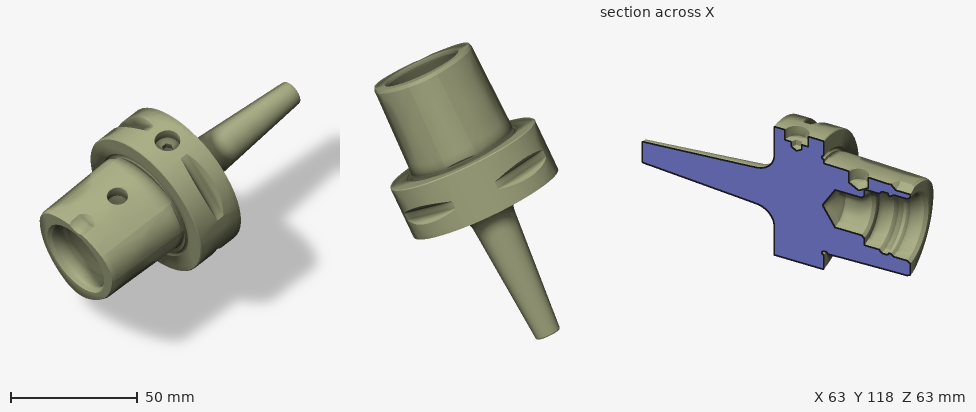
import cadquery as cq
import math


TOTAL_LENGTH = 118.0
SHANK_LENGTH = 38.0

FLANGE_RADIUS = 31.5
FLANGE_LENGTH = 22.0
FLANGE_CHAMFER = 0.4

NOSE_LENGTH = TOTAL_LENGTH - FLANGE_LENGTH - SHANK_LENGTH
TIP_RADIUS = 5.2
TIP_FILLET = 0.7
NOSE_HALF_ANGLE = 4.3
ROOT_FILLET = 8.3

LOBE_OFFSET = 10.1
LOBE_RADIUS = 13.2
LOBE_ANGLES = (30.0, 150.0, 270.0)
LOBE_HALF_SPAN = 30.0
SHANK_TAPER = 1 / 40
ROOT_OVERLAP = 1.2
ROOT_FLARE_HEIGHT = 0.5
ROOT_FLARE_DEPTH = 0.2
STRAIGHT_LENGTH = 1.9
END_CHAMFER_LENGTH = 1.4
END_CHAMFER_DEPTH = 0.6

RELIEF_INNER_RADIUS = 22.5
RELIEF_WIDTH = 1.7
RELIEF_LENGTH = 1.1

BORE_MOUTH_RADIUS = 16.2
BORE_ENTRY_RADIUS = 15.0
BORE_MOUTH_DEPTH = 1.4
BORE_ENTRY_DEPTH = 7.4
LIP_RADIUS = 13.9
BORE_RADIUS = 13.6
BORE_DEPTH = 20.2
SEGMENT_GROOVE_RADIUS = 15.0
SEGMENT_GROOVE_START = 9.8
SEGMENT_GROOVE_END = 12.4
PILOT_RADIUS = 10.3
PILOT_CHAMFER = 1.2
PILOT_DEPTH = 33.0
DRILL_HALF_ANGLE = 59.0

SLOT_PLACE = 12.0
SLOT_FLOOR_RADIUS = 27.8
SLOT_FLOOR_WIDTH = 3.3
SLOT_FLANK_ANGLE = 30.0
SLOT_CORNER_FILLET = 0.6
SLOT_ANGLES = (45.0, 135.0, 225.0, 315.0)

CHIP_HOLE_RADIUS = 5.1
CHIP_HOLE_DEPTH = 5.0
CHIP_HOLE_CHAMFER = 0.2
SOCKET_WIDTH = 3.9
SOCKET_DEPTH = 2.4

SIDE_HOLE_RADIUS = 4.1
SIDE_HOLE_PLACE = -15.2
SIDE_HOLE_FLOOR = 14.9
SIDE_HOLE_CHAMFER = 0.4

NOTCH_RADIUS = 5.9
NOTCH_FLOOR = 17.8
NOTCH_LENGTH = 6.4


def turned(profile):
    """Revolve a closed (radius, Y) outline about the Y axis."""
    return profile.close().revolve(360, (0, 0, 0), (0, 1, 0))


def polar(radius, angle, center=(0.0, 0.0)):
    """Point at a radius and an angle in degrees around a center."""
    a = math.radians(angle)
    return (center[0] + radius * math.cos(a), center[1] + radius * math.sin(a))


def body():
    """Flange and nose, turned in one piece."""
    slope = math.radians(NOSE_HALF_ANGLE)
    root_y = FLANGE_LENGTH + ROOT_FILLET * (1 - math.sin(slope))
    tip_y = FLANGE_LENGTH + NOSE_LENGTH
    root_radius = TIP_RADIUS + (tip_y - root_y) * math.tan(slope)
    center = (root_radius + ROOT_FILLET * math.cos(slope), FLANGE_LENGTH + ROOT_FILLET)
    middle = polar(ROOT_FILLET, (180 + NOSE_HALF_ANGLE + 270) / 2, center)
    profile = (
        cq.Workplane("XY")
        .lineTo(FLANGE_RADIUS - FLANGE_CHAMFER, 0)
        .lineTo(FLANGE_RADIUS, FLANGE_CHAMFER)
        .lineTo(FLANGE_RADIUS, FLANGE_LENGTH)
        .lineTo(center[0], FLANGE_LENGTH)
        .threePointArc(middle, (root_radius, root_y))
        .lineTo(TIP_RADIUS, tip_y)
        .lineTo(0, tip_y)
    )
    return turned(profile).faces(">Y").edges().fillet(TIP_FILLET)


def lobed_outline(y, inset):
    """Closed six-arc outline at the given Y, shrunk by an inset.

    Each flat side arc is centred on the lobe opposite to it, so the arcs meet tangentially.
    """
    lobe = LOBE_RADIUS - inset
    side = lobe + LOBE_OFFSET * math.sqrt(3)
    first = LOBE_ANGLES[0]
    outline = cq.Workplane("XZ", origin=(0, y, 0))
    outline = outline.moveTo(*polar(lobe, first - LOBE_HALF_SPAN, polar(LOBE_OFFSET, first)))
    for angle in LOBE_ANGLES:
        center = polar(LOBE_OFFSET, angle)
        lobe_end = angle + LOBE_HALF_SPAN
        side_middle = lobe_end + LOBE_HALF_SPAN
        side_end = side_middle + LOBE_HALF_SPAN
        opposite = polar(LOBE_OFFSET, side_middle + 180)
        outline = outline.threePointArc(polar(lobe, angle, center), polar(lobe, lobe_end, center))
        outline = outline.threePointArc(
            polar(side, side_middle, opposite), polar(side, side_end, opposite)
        )
    return outline.close().wire().val()


def shank():
    """Flared root sunk into the flange, straight neck, tapered length and end chamfer."""
    chamfer_y = END_CHAMFER_LENGTH - SHANK_LENGTH
    taper_inset = (-STRAIGHT_LENGTH - chamfer_y) * SHANK_TAPER
    stations = (
        (ROOT_OVERLAP, -ROOT_FLARE_DEPTH),
        (0, -ROOT_FLARE_DEPTH),
        (-ROOT_FLARE_HEIGHT, 0),
        (-STRAIGHT_LENGTH, 0),
        (chamfer_y, taper_inset),
        (-SHANK_LENGTH, taper_inset + END_CHAMFER_DEPTH),
    )
    outlines = [lobed_outline(y, inset) for y, inset in stations]
    solid = cq.Workplane("XY")
    for start, end in zip(outlines, outlines[1:]):
        solid = solid.union(cq.Workplane(cq.Solid.makeLoft([start, end], True)))
    return solid


def relief_groove():
    """Groove with a round bottom in the flange and a 45 degree outer run that trims the lobes."""
    outer = RELIEF_INNER_RADIUS + RELIEF_WIDTH
    radius = RELIEF_WIDTH / 2
    profile = (
        cq.Workplane("XY")
        .moveTo(RELIEF_INNER_RADIUS, -RELIEF_LENGTH)
        .lineTo(RELIEF_INNER_RADIUS, 0)
        .threePointArc((RELIEF_INNER_RADIUS + radius, radius), (outer, 0))
        .lineTo(outer, -RELIEF_LENGTH - RELIEF_WIDTH)
    )
    return turned(profile)


def bore():
    """Entry, 45 degree lip, groove for the clamping segments, bore and drilled pilot."""
    end = -SHANK_LENGTH
    floor = end + BORE_DEPTH
    lip_step = BORE_ENTRY_RADIUS - LIP_RADIUS
    groove_step = SEGMENT_GROOVE_RADIUS - BORE_RADIUS
    pilot_tip_radius = PILOT_RADIUS - PILOT_CHAMFER
    profile = (
        cq.Workplane("XY")
        .moveTo(0, end)
        .lineTo(BORE_MOUTH_RADIUS, end)
        .lineTo(BORE_ENTRY_RADIUS, end + BORE_MOUTH_DEPTH)
        .lineTo(BORE_ENTRY_RADIUS, end + BORE_ENTRY_DEPTH)
        .lineTo(LIP_RADIUS, end + BORE_ENTRY_DEPTH + lip_step)
        .lineTo(LIP_RADIUS, end + SEGMENT_GROOVE_START)
        .lineTo(SEGMENT_GROOVE_RADIUS, end + SEGMENT_GROOVE_START)
        .lineTo(SEGMENT_GROOVE_RADIUS, end + SEGMENT_GROOVE_END)
        .lineTo(BORE_RADIUS, end + SEGMENT_GROOVE_END + groove_step)
        .lineTo(BORE_RADIUS, floor)
        .lineTo(PILOT_RADIUS, floor)
        .lineTo(pilot_tip_radius, floor + PILOT_CHAMFER)
        .lineTo(pilot_tip_radius, end + PILOT_DEPTH)
        .lineTo(0, end + PILOT_DEPTH + pilot_tip_radius / math.tan(math.radians(DRILL_HALF_ANGLE)))
    )
    return turned(profile)


def gripper_slots():
    """Trapezoidal slots cut straight across the flange rim."""
    depth = FLANGE_RADIUS - SLOT_FLOOR_RADIUS
    half_floor = SLOT_FLOOR_WIDTH / 2
    half_mouth = half_floor + depth * math.tan(math.radians(SLOT_FLANK_ANGLE))
    slot = (
        cq.Workplane("XY")
        .moveTo(SLOT_FLOOR_RADIUS, SLOT_PLACE - half_floor)
        .lineTo(FLANGE_RADIUS, SLOT_PLACE - half_mouth)
        .lineTo(FLANGE_RADIUS, SLOT_PLACE + half_mouth)
        .lineTo(SLOT_FLOOR_RADIUS, SLOT_PLACE + half_floor)
        .close()
        .extrude(FLANGE_RADIUS, both=True)
        .faces("<X")
        .edges("|Z")
        .fillet(SLOT_CORNER_FILLET)
    )
    slots = cq.Workplane("XY")
    for angle in SLOT_ANGLES:
        slots = slots.union(slot.rotate((0, 0, 0), (0, 1, 0), angle))
    return slots


def drilled(radius, floor, top, y):
    """Vertical drilled hole with a conical bottom below its floor level."""
    tip = floor - radius / math.tan(math.radians(DRILL_HALF_ANGLE))
    profile = cq.Workplane("XZ").moveTo(0, tip).lineTo(radius, floor).lineTo(radius, top).lineTo(0, top)
    return profile.close().revolve(360, (0, 0, 0), (0, 1, 0)).translate((0, y, 0))


def countersink(radius, chamfer, surface, y):
    """45 degree cone that breaks the rim of a vertical hole at a surface height."""
    sink = cq.Workplane("XY", origin=(0, y, surface - radius)).circle(chamfer)
    return sink.workplane(offset=2 * radius).circle(2 * radius + chamfer).loft()


def chip_hole():
    """Flat-bottomed hole with a hexagonal socket in its floor."""
    floor = FLANGE_RADIUS - CHIP_HOLE_DEPTH
    hole = cq.Workplane("XY", origin=(0, SLOT_PLACE, floor)).circle(CHIP_HOLE_RADIUS).extrude(FLANGE_RADIUS)
    socket_corner = SOCKET_WIDTH / math.sqrt(3)
    hexagon = (
        cq.Workplane("XY", origin=(0, SLOT_PLACE, 0))
        .polygon(6, 2 * socket_corner)
        .extrude(floor)
        .rotate((0, SLOT_PLACE, 0), (0, SLOT_PLACE, 1), 30)
    )
    socket = drilled(socket_corner, floor - SOCKET_DEPTH, floor, SLOT_PLACE).intersect(hexagon)
    rim = countersink(CHIP_HOLE_RADIUS, CHIP_HOLE_CHAMFER, FLANGE_RADIUS, SLOT_PLACE)
    return hole.union(socket).union(rim)


def side_hole():
    """Blind hole square to the flat top side of the shank, with a broken rim."""
    side_height = LOBE_RADIUS + LOBE_OFFSET * (math.sqrt(3) - 1)
    taper_drop = (-STRAIGHT_LENGTH - SIDE_HOLE_PLACE) * SHANK_TAPER
    hole = drilled(SIDE_HOLE_RADIUS, SIDE_HOLE_FLOOR, side_height, SIDE_HOLE_PLACE)
    rim = countersink(SIDE_HOLE_RADIUS, SIDE_HOLE_CHAMFER, side_height - taper_drop, SIDE_HOLE_PLACE)
    return hole.union(rim)


def end_notch():
    """Round groove along Y with a 45 degree conical inner end."""
    start = -SHANK_LENGTH
    shoulder = start + NOTCH_LENGTH
    profile = (
        cq.Workplane("XY")
        .moveTo(0, start)
        .lineTo(NOTCH_RADIUS, start)
        .lineTo(NOTCH_RADIUS, shoulder)
        .lineTo(0, shoulder + NOTCH_RADIUS)
    )
    return turned(profile).translate((0, 0, NOTCH_FLOOR + NOTCH_RADIUS))


result = body().union(shank())
for cutter in (relief_groove(), bore(), gripper_slots(), chip_hole(), side_hole(), end_notch()):
    result = result.cut(cutter)